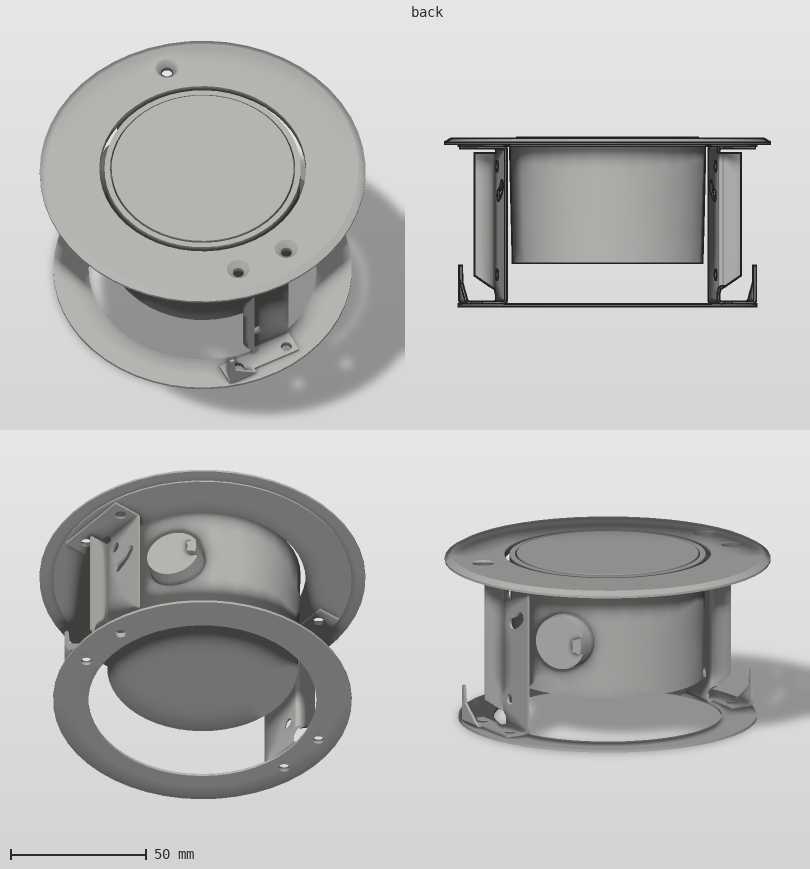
import cadquery as cq
import math

sheet = 1.0
bracket_top = 59.0
gasket_thickness = 0.6
flange_bottom = bracket_top + gasket_thickness
flange_top = 61.9
lens_top = 62.3

flange_radius = 60.0
flange_opening_radius = 38.0
bevel_width = 2.5
bevel_height = 1.5
gasket_radius = 55.0
lower_ring_opening_radius = 42.0

screw_circle_radius = 48.0
screw_hole_radius = 2.0
countersink_radius = 4.2
screw_pair_angle = 24.0
flange_screw_angles = [0.0, screw_pair_angle, 180.0]
ring_screw_angles = [0.0, screw_pair_angle, 180.0, 180.0 + screw_pair_angle]

housing_bottom = 15.8
housing_bottom_radius = 35.0
housing_top_radius = 36.1
lens_seat_radius = 34.1
lens_radius = 33.5
lens_thickness = 3.0
disc_radius = 25.0

gland_angle = 227.5
gland_height = 37.2
gland_face_distance = 41.3
gland_inner_distance = 32.4
gland_face_radius = 9.8
gland_inner_radius = 10.5
key_inner_radius = 6.2
key_length = 2.5
key_half_angle = 18.5

bracket_angles = [screw_pair_angle / 2, 180.0 + screw_pair_angle / 2]
inner_bend = 0.5
outer_bend = inner_bend + sheet
web_inner = 40.7
web_outer = web_inner + sheet
web_start = -2.2
web_end = 13.7
bracket_bottom = sheet
tail_inner = 43.5
top_foot_outer = 52.3
top_foot_start = -15.2
bottom_foot_outer = 50.2
bottom_foot_start = -16.0

side_outer_face = -5.4
side_tip = 49.1
side_top = 56.5
side_tip_bottom = 11.4
side_root_bottom = 6.4
relief_bottom = 4.5

hook_outer = 52.5
hook_top = 15.1
hook_root_end = -5.0
hook_tip_width = 1.3
hook_neck_width = 2.0
hook_neck_height = 8.6

web_hole_radius = 2.0
web_hole_place = 0.4
lower_web_hole_height = 11.8
pivot_height = 51.6
slot_arc_radius = 10.9
slot_half_width = 2.0
slot_start_angle = 10.0
slot_end_angle = 50.0


def disc(radius, bottom, top):
    return cq.Workplane("XY").workplane(offset=bottom).circle(radius).extrude(top - bottom)


def box(x_range, y_range, z_range):
    size = [high - low for low, high in (x_range, y_range, z_range)]
    return cq.Workplane("XY").box(*size, centered=False).translate((x_range[0], y_range[0], z_range[0]))


def screw_holes(angles):
    """Plain drills through the whole stack, one at each angle."""
    drills = cq.Workplane("XY")
    for angle in angles:
        drill = disc(screw_hole_radius, 0, lens_top).translate((screw_circle_radius, 0, 0))
        drills = drills.add(drill.rotate((0, 0, 0), (0, 0, 1), angle))
    return drills.combine()


def make_flange():
    flange = (
        disc(flange_radius, flange_bottom, flange_top)
        .faces(">Z").edges().chamfer(bevel_height, bevel_width)
        .cut(disc(flange_opening_radius, flange_bottom, flange_top))
        .cut(screw_holes(flange_screw_angles))
    )
    sink = cq.Workplane("XY").add(
        cq.Solid.makeCone(
            countersink_radius, screw_hole_radius, countersink_radius - screw_hole_radius,
            pnt=cq.Vector(screw_circle_radius, 0, flange_top), dir=cq.Vector(0, 0, -1),
        )
    )
    for angle in flange_screw_angles:
        flange = flange.cut(sink.rotate((0, 0, 0), (0, 0, 1), angle))
    return flange


def make_flat_ring(outer_radius, opening_radius, bottom, top, screw_angles):
    ring = disc(outer_radius, bottom, top).cut(disc(opening_radius, bottom, top))
    return ring.cut(screw_holes(screw_angles))


def make_gland():
    """Tapered round plug, cut back to leave a sector-shaped key on its face.

    It is built pointing along +X and then turned about the housing axis.
    """
    key_end = gland_face_distance + key_length
    taper = (gland_inner_radius - gland_face_radius) / (gland_face_distance - gland_inner_distance)
    plug = cq.Workplane("XY").add(
        cq.Solid.makeCone(
            gland_inner_radius, gland_face_radius - taper * key_length, key_end - gland_inner_distance,
            pnt=cq.Vector(gland_inner_distance, 0, gland_height), dir=cq.Vector(1, 0, 0),
        )
    )
    reach = 2 * gland_inner_radius
    half_angle = math.radians(key_half_angle)
    sector_y = reach * math.cos(half_angle)
    sector_z = reach * math.sin(half_angle)
    face_plane = cq.Workplane("YZ", origin=(gland_face_distance, 0, gland_height))
    key_space = (
        face_plane.polyline([(0, 0), (sector_y, -sector_z), (sector_y, sector_z)])
        .close().extrude(key_length)
        .cut(face_plane.circle(key_inner_radius).extrude(key_length))
    )
    cut_back = face_plane.circle(reach).extrude(key_length).cut(key_space)
    return plug.cut(cut_back).rotate((0, 0, 0), (0, 0, 1), gland_angle)


def make_housing(gland):
    """Drafted round body with a lens seat on top and a tapered socket that fits the gland."""
    lens_seat = disc(lens_seat_radius, lens_top - lens_thickness, lens_top)
    body = (
        cq.Workplane("XZ")
        .polyline([
            (0, housing_bottom), (housing_bottom_radius, housing_bottom),
            (housing_top_radius, flange_top), (0, flange_top),
        ])
        .close().revolve(360, (0, 0, 0), (0, 1, 0))
    )
    return body.cut(lens_seat).cut(gland)


def extrude_along_tangent(points, start, end):
    """Prism of a radial-vertical outline between two tangential places."""
    return cq.Workplane("XZ", origin=(0, end, 0)).polyline(points).close().extrude(end - start)


def extrude_along_radius(points):
    """Prism of a tangential-vertical outline, through the whole bracket."""
    return cq.Workplane("YZ").polyline(points).close().extrude(flange_radius)


def fillet_at(solid, direction, points_and_radii):
    for point, radius in points_and_radii:
        solid = solid.edges(direction).edges(cq.NearestToPointSelector(point)).fillet(radius)
    return solid


def make_channel():
    """Upright web with the top and bottom feet bent outward from it."""
    under_top = bracket_top - sheet
    over_bottom = bracket_bottom + sheet
    middle = (web_start + web_end) / 2
    channel = extrude_along_tangent(
        [
            (web_inner, bracket_bottom), (bottom_foot_outer, bracket_bottom),
            (bottom_foot_outer, over_bottom), (web_outer, over_bottom),
            (web_outer, under_top), (top_foot_outer, under_top),
            (top_foot_outer, bracket_top), (web_inner, bracket_top),
        ],
        web_start, web_end,
    )
    return fillet_at(channel, "|Y", [
        ((web_inner, middle, bracket_bottom), outer_bend),
        ((web_inner, middle, bracket_top), outer_bend),
        ((web_outer, middle, over_bottom), inner_bend),
        ((web_outer, middle, under_top), inner_bend),
    ])


def make_side_wing():
    """Stiffening wing bent outward from the web edge, with a sloped lower end."""
    side_inner_face = side_outer_face + sheet
    middle = (relief_bottom + side_top) / 2
    wing = (
        cq.Workplane("XY").workplane(offset=relief_bottom)
        .polyline([
            (web_inner, web_start), (web_inner, side_outer_face), (side_tip, side_outer_face),
            (side_tip, side_inner_face), (web_outer, side_inner_face), (web_outer, web_start),
        ])
        .close().extrude(side_top - relief_bottom)
    )
    wing = fillet_at(wing, "|Z", [
        ((web_inner, side_outer_face, middle), outer_bend),
        ((web_outer, side_inner_face, middle), inner_bend),
    ])
    slope = extrude_along_tangent(
        [
            (web_outer, relief_bottom), (web_outer, side_root_bottom),
            (side_tip, side_tip_bottom), (side_tip, relief_bottom),
        ],
        side_outer_face, side_inner_face + inner_bend,
    )
    relief = extrude_along_radius([
        (web_start, relief_bottom), (side_outer_face, relief_bottom),
        (side_outer_face, relief_bottom + web_start - side_outer_face),
    ])
    return wing.cut(slope).cut(relief)


def make_hook():
    """Pointed tab bent up from the outer edge of the bottom foot."""
    hook_inner = hook_outer - sheet
    over_bottom = bracket_bottom + sheet
    middle = (bottom_foot_start + hook_root_end) / 2
    angle_strip = extrude_along_tangent(
        [
            (tail_inner, bracket_bottom), (hook_outer, bracket_bottom), (hook_outer, hook_top),
            (hook_inner, hook_top), (hook_inner, over_bottom), (tail_inner, over_bottom),
        ],
        bottom_foot_start, hook_root_end,
    )
    angle_strip = fillet_at(angle_strip, "|Y", [
        ((hook_outer, middle, bracket_bottom), outer_bend),
        ((hook_inner, middle, over_bottom), inner_bend),
    ])
    outline = extrude_along_radius([
        (bottom_foot_start, bracket_bottom), (bottom_foot_start, hook_top),
        (bottom_foot_start + hook_tip_width, hook_top),
        (bottom_foot_start + hook_neck_width, hook_neck_height),
        (hook_root_end, over_bottom), (hook_root_end, bracket_bottom),
    ])
    return angle_strip.intersect(outline)


def make_web_openings():
    """Two round holes and a slot curved about the upper hole."""
    def from_pivot(radius, angle):
        swing = math.radians(angle)
        return (web_hole_place + radius * math.sin(swing), pivot_height - radius * math.cos(swing))

    far = slot_arc_radius + slot_half_width
    near = slot_arc_radius - slot_half_width
    slot_middle_angle = (slot_start_angle + slot_end_angle) / 2
    side = cq.Workplane("YZ", origin=(web_inner, 0, 0))
    ends = [from_pivot(slot_arc_radius, angle) for angle in (slot_start_angle, slot_end_angle)]
    slot = (
        side.moveTo(*from_pivot(near, slot_start_angle))
        .threePointArc(from_pivot(near, slot_middle_angle), from_pivot(near, slot_end_angle))
        .lineTo(*from_pivot(far, slot_end_angle))
        .threePointArc(from_pivot(far, slot_middle_angle), from_pivot(far, slot_start_angle))
        .close().extrude(sheet)
    )
    rounds = side.pushPoints(ends).circle(slot_half_width).extrude(sheet)
    holes = (
        side.pushPoints([(web_hole_place, lower_web_hole_height), (web_hole_place, pivot_height)])
        .circle(web_hole_radius).extrude(sheet)
    )
    return slot.union(rounds).union(holes)


def make_bracket(angle):
    top_tail = box(
        (tail_inner, top_foot_outer), (top_foot_start, web_start), (bracket_top - sheet, bracket_top)
    )
    bottom_tail = box(
        (tail_inner, bottom_foot_outer), (hook_root_end, web_start),
        (bracket_bottom, bracket_bottom + sheet),
    )
    half_pair = screw_pair_angle / 2
    bracket = (
        make_channel()
        .union(make_side_wing())
        .union(top_tail)
        .union(bottom_tail)
        .union(make_hook())
        .cut(make_web_openings())
        .cut(screw_holes([-half_pair, half_pair]))
    )
    return bracket.rotate((0, 0, 0), (0, 0, 1), angle)


flange = make_flange()
gasket = make_flat_ring(
    gasket_radius, flange_opening_radius, bracket_top, flange_bottom, flange_screw_angles
)
lower_ring = make_flat_ring(gasket_radius, lower_ring_opening_radius, 0, sheet, ring_screw_angles)
brackets = [make_bracket(angle) for angle in bracket_angles]
gland = make_gland()
housing = make_housing(gland)
centre_disc = disc(disc_radius, lens_top - lens_thickness, lens_top)
lens_ring = disc(lens_radius, lens_top - lens_thickness, lens_top).cut(centre_disc)

result = cq.Compound.makeCompound([
    flange.val(),
    gasket.val(),
    lower_ring.val(),
    *[bracket.val() for bracket in brackets],
    housing.val(),
    gland.val(),
    lens_ring.val(),
    centre_disc.val(),
])